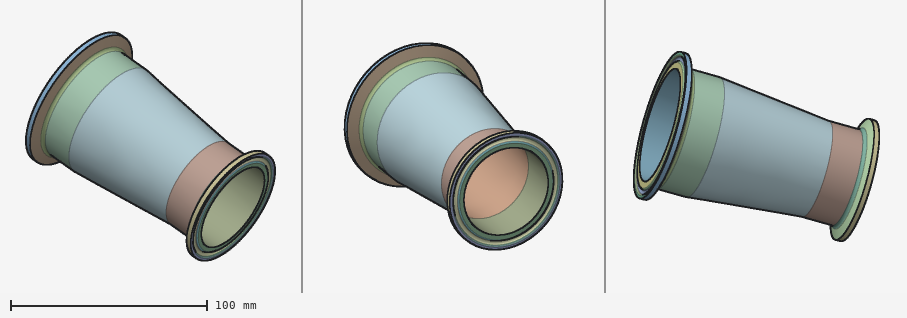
import cadquery as cq
import math

length = 107.0
end_length = 23.0
rim_width = 2.9
taper_angle = math.radians(20)
neck_fillet = 2.0

large_rim = 77.5 / 2
large_tube = 63.5 / 2
large_bore = 59.5 / 2
small_rim = 64.0 / 2
small_tube = 50.8 / 2
small_bore = 47.8 / 2

groove_inset = 3.5
groove_depth = 1.6
groove_radius = 1.2
lip_radius = 0.9
flank_angle = math.radians(20)

lip_depth = lip_radius * (1 - math.sin(flank_angle))
floor_depth = groove_depth - groove_radius * (1 - math.sin(flank_angle))
floor_half_width = groove_radius * math.cos(flank_angle)
lip_half_width = floor_half_width + (floor_depth - lip_depth) * math.tan(flank_angle)
groove_half_width = lip_half_width + lip_radius * math.cos(flank_angle)


def ferrule(rim, tube, bore):
    """Clamp ferrule with its face at X = 0 and its tube toward +X."""
    neck_x = rim_width + (rim - tube) * math.tan(taper_angle)
    tangent = neck_fillet * math.tan((math.pi / 2 - taper_angle) / 2)
    fillet_start_x = neck_x - tangent * math.sin(taper_angle)
    fillet_start_r = tube + tangent * math.cos(taper_angle)
    groove = rim - groove_inset
    profile = (
        cq.Workplane("XZ")
        .moveTo(0, bore)
        .lineTo(0, groove - groove_half_width)
        .radiusArc((lip_depth, groove - lip_half_width), lip_radius)
        .lineTo(floor_depth, groove - floor_half_width)
        .threePointArc((groove_depth, groove), (floor_depth, groove + floor_half_width))
        .lineTo(lip_depth, groove + lip_half_width)
        .radiusArc((0, groove + groove_half_width), lip_radius)
        .lineTo(0, rim)
        .lineTo(rim_width, rim)
        .lineTo(fillet_start_x, fillet_start_r)
        .radiusArc((neck_x + tangent, tube), -neck_fillet)
        .lineTo(end_length, tube)
        .lineTo(end_length, bore)
        .close()
    )
    return profile.revolve(360, (0, 0, 0), (1, 0, 0))


def reducer():
    """Conical shell joining the two straight tubes."""
    profile = cq.Workplane("XZ").polyline([
        (end_length, large_bore),
        (end_length, large_tube),
        (length - end_length, small_tube),
        (length - end_length, small_bore),
    ]).close()
    return profile.revolve(360, (0, 0, 0), (1, 0, 0))


large_ferrule = ferrule(large_rim, large_tube, large_bore)
small_ferrule = (
    ferrule(small_rim, small_tube, small_bore)
    .mirror("YZ")
    .translate((length, 0, 0))
)

result = large_ferrule.union(reducer()).union(small_ferrule)